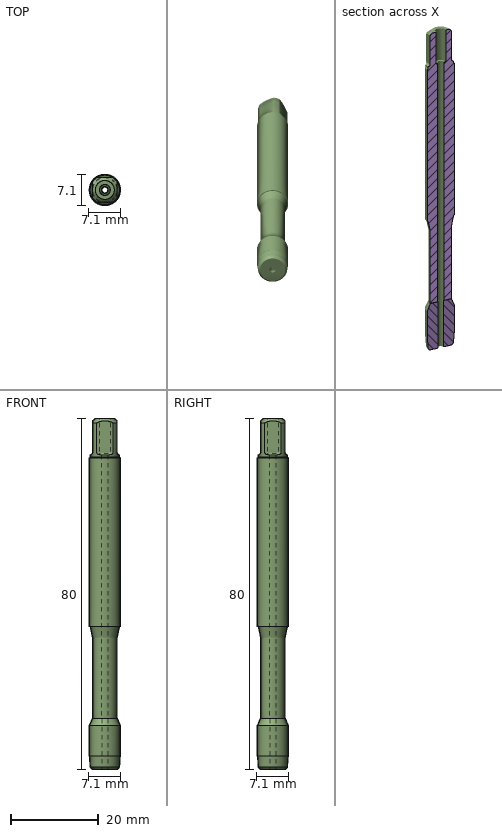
import cadquery as cq
import math

total_length = 80.0

shank_diameter = 7.1
neck_diameter = 5.6
step_diameter = 6.7
neck_taper_bottom = 30.0
shank_bottom = 32.6
shank_top = 71.0
shoulder_chamfer = (shank_diameter - step_diameter) / 2

square_width = 5.6
square_bottom = 71.7
runout_radius = (step_diameter - square_width) / 2
drive_end_diameter = 4.3
drive_chamfer_height = 1.0

inlet_diameter = 2.5
inlet_depth = 8.0
shank_channel_diameter = 1.5
head_channel_diameter = 1.4

head_diameter = 7.1
head_top = 11.7
collar_diameter = 6.1
collar_height = 0.5
head_cone_height = 1.2
lead_height = 3.0
lead_top_diameter = 7.0
lead_bottom_diameter = 6.7
tip_diameter = 5.8
tip_chamfer_height = 0.6


def revolve_profile(points):
    """Turn a list of (diameter, height) points about the Z axis."""
    radial_points = [(diameter / 2, height) for diameter, height in points]
    return cq.Workplane("XZ").polyline(radial_points).close().revolve(360, (0, 0), (0, 1))


def bore(diameter, bottom, top):
    return cq.Workplane("XY").workplane(offset=bottom).circle(diameter / 2).extrude(top - bottom)


def make_flat_cutter():
    """Material removed to form the +X flat of the drive, with its rounded foot."""
    flat = square_width / 2
    edge = step_diameter / 2
    arc_offset = runout_radius * math.sqrt(0.5)
    return (
        cq.Workplane("XZ")
        .moveTo(flat, total_length)
        .lineTo(flat, square_bottom + runout_radius)
        .threePointArc((edge - arc_offset, square_bottom + runout_radius - arc_offset), (edge, square_bottom))
        .lineTo(edge, total_length)
        .close()
        .extrude(edge, both=True)
    )


def make_shank():
    shank = revolve_profile([
        (0, head_top),
        (neck_diameter, head_top),
        (neck_diameter, neck_taper_bottom),
        (step_diameter, shank_bottom),
        (shank_diameter, shank_bottom),
        (shank_diameter, shank_top),
        (step_diameter, shank_top + shoulder_chamfer),
        (step_diameter, total_length - drive_chamfer_height),
        (drive_end_diameter, total_length),
        (0, total_length),
    ])
    flat_cutter = make_flat_cutter()
    for quarter_turn in range(4):
        shank = shank.cut(flat_cutter.rotate((0, 0, 0), (0, 0, 1), 90 * quarter_turn))
    shank = shank.cut(bore(shank_channel_diameter, head_top, total_length))
    return shank.cut(bore(inlet_diameter, total_length - inlet_depth, total_length))


def make_cutting_head():
    cone_top = head_top - collar_height
    head = revolve_profile([
        (0, 0),
        (tip_diameter, 0),
        (lead_bottom_diameter, tip_chamfer_height),
        (lead_top_diameter, lead_height),
        (head_diameter, lead_height),
        (head_diameter, cone_top - head_cone_height),
        (collar_diameter, cone_top),
        (neck_diameter, head_top),
        (0, head_top),
    ])
    return head.cut(bore(head_channel_diameter, 0, head_top))


shank = make_shank()
cutting_head = make_cutting_head()
result = cq.Compound.makeCompound([shank.val(), cutting_head.val()])